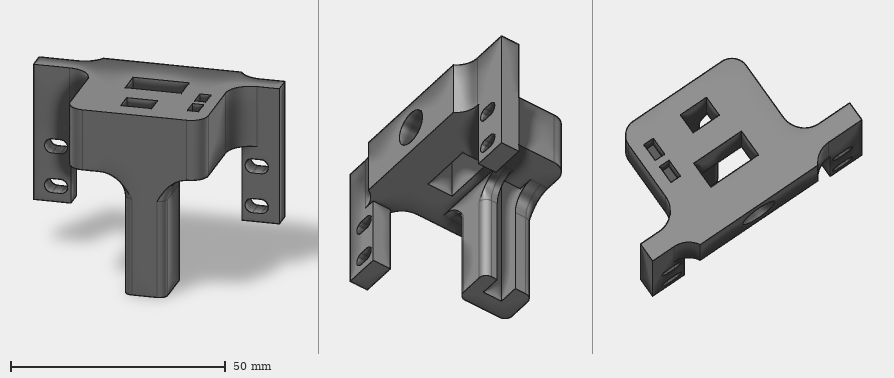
import cadquery as cq
import math


body_width = 33.3
body_depth = 33.2
body_height = 15.0
body_center_x = 1.65
body_left = body_center_x - body_width / 2
body_right = body_center_x + body_width / 2
front_corner_radius = 4.1

ear_span = 59.3
ear_half_span = ear_span / 2
ear_width = 9.0
ear_thickness = 5.0
ear_height = 33.75
ear_front = 25.15
ear_back = ear_front + ear_thickness
ear_blend_radius = 6.0
ear_slot_length = 5.6
ear_slot_width = 3.5
ear_slot_inset = 5.45
ear_slot_depths = (19.9, 29.8)

leg_width = 10.15
leg_depth = 14.0
leg_center_x = 4.05
leg_bottom = 45.0
leg_corner_radius = 2.0
leg_flare_radius = 6.0

window_size = (13.5, 6.95)
window_center = (1.65, 19.8)
channel_size = (7.4, 5.2)
channel_center = (0.65, 7.65)
pocket_size = (2.65, 4.6)
pocket_x = 14.05
pocket_y_positions = (8.35, 14.75)
pocket_depth = 5.95

bore_diameter = 9.0


def box(size_x, size_y, height, center, top=0):
    """Block hanging down from the given top level."""
    return (
        cq.Workplane("XY", origin=(center[0], center[1], top))
        .rect(size_x, size_y)
        .extrude(-height)
    )


def make_body():
    """Plate with front corners rounded and concave blends into both ears."""
    r = ear_blend_radius
    diagonal = r * math.sqrt(0.5)
    back_rise = body_depth - ear_back
    back_angle = math.acos(1 - back_rise / r)
    back_run = r * math.sin(back_angle)
    mid_run = r * math.sin(back_angle / 2)
    mid_rise = r * (1 - math.cos(back_angle / 2))
    right_tangent = body_right + back_run
    left_tangent = body_left - back_run
    outline = (
        cq.Workplane("XY")
        .moveTo(body_left, 0)
        .lineTo(body_right, 0)
        .lineTo(body_right, ear_front - r)
        .threePointArc(
            (body_right + r - diagonal, ear_front - r + diagonal),
            (body_right + r, ear_front),
        )
        .lineTo(ear_half_span, ear_front)
        .lineTo(ear_half_span, ear_back)
        .lineTo(right_tangent, ear_back)
        .threePointArc((right_tangent - mid_run, ear_back + mid_rise), (body_right, body_depth))
        .lineTo(body_left, body_depth)
        .threePointArc((left_tangent + mid_run, ear_back + mid_rise), (left_tangent, ear_back))
        .lineTo(-ear_half_span, ear_back)
        .lineTo(-ear_half_span, ear_front)
        .lineTo(body_left - r, ear_front)
        .threePointArc(
            (body_left - r + diagonal, ear_front - r + diagonal),
            (body_left, ear_front - r),
        )
        .close()
    )
    return outline.extrude(-body_height).edges("|Z and <Y").fillet(front_corner_radius)


def make_ear(side):
    """Hanging ear with two horizontal slots; side is -1 or 1."""
    center = (side * (ear_half_span - ear_width / 2), (ear_front + ear_back) / 2)
    ear = box(ear_width, ear_thickness, ear_height, center)
    slot_x = side * (ear_half_span - ear_slot_inset)
    slots = (
        cq.Workplane("XZ", origin=(0, ear_back, 0))
        .pushPoints([(slot_x, -depth) for depth in ear_slot_depths])
        .slot2D(ear_slot_length, ear_slot_width)
        .extrude(ear_thickness)
    )
    return ear.cut(slots)


def make_leg():
    """Rounded leg flaring into the body sideways, with the flare trimmed flush front and back."""
    center = (leg_center_x, leg_depth / 2)
    leg = box(leg_width, leg_depth, leg_bottom, center).edges("|Z").fillet(leg_corner_radius)
    margin = 2 * leg_flare_radius + 1.2
    slab = box(leg_width + margin, leg_depth + margin, body_height, center)
    below_slab = cq.selectors.BoxSelector(
        (-ear_span, -ear_span, -body_height - 0.6),
        (ear_span, ear_span, -body_height + 0.6),
    )
    flared = slab.union(leg)
    root_edges = [
        edge
        for edge in flared.edges(below_slab).vals()
        if abs(edge.Center().x - leg_center_x) <= leg_width / 2
        and abs(edge.Center().y - leg_depth / 2) <= leg_depth / 2
    ]
    flared = flared.newObject(root_edges).fillet(leg_flare_radius)
    trim = box(body_width, leg_depth, leg_bottom, (body_center_x, leg_depth / 2))
    trim = trim.edges("|Z and <Y").fillet(front_corner_radius)
    return flared.intersect(trim)


result = make_body().union(make_leg())
for side in (-1, 1):
    result = result.union(make_ear(side))

result = result.cut(box(*window_size, body_height, window_center))

result = result.cut(box(*channel_size, leg_bottom, channel_center))
channel_right = channel_center[0] + channel_size[0] / 2
leg_slot_length = channel_right - body_left
leg_slot_center = (channel_right - leg_slot_length / 2, channel_center[1])
leg_slot = box(
    leg_slot_length, channel_size[1], leg_bottom - body_height, leg_slot_center, top=-body_height
)
result = result.cut(leg_slot)

for pocket_y in pocket_y_positions:
    result = result.cut(box(*pocket_size, pocket_depth, (pocket_x, pocket_y)))

bore = (
    cq.Workplane("XZ", origin=(body_center_x, body_depth, -body_height / 2))
    .circle(bore_diameter / 2)
    .extrude(body_depth - window_center[1])
)
result = result.cut(bore)